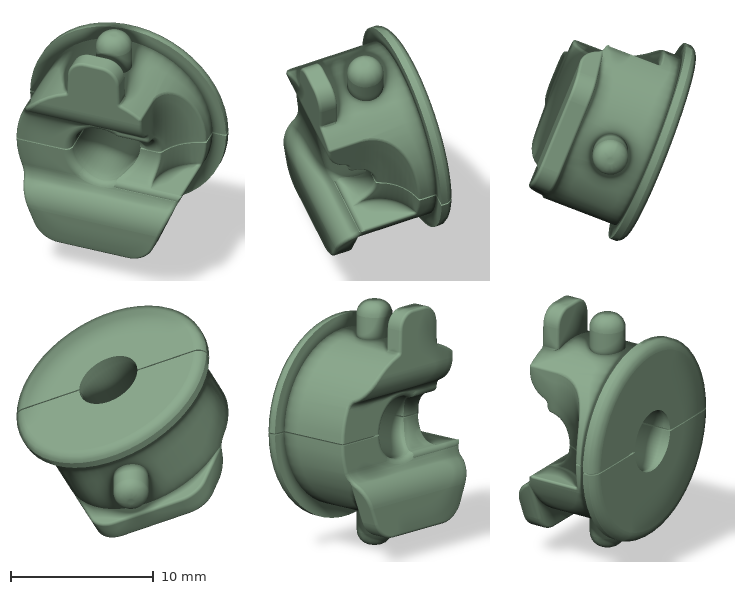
import cadquery as cq
import math


total_depth = 8.0
flange_radius = 7.35
flange_thickness = 1.0
flange_rim = 0.48
flange_crown_width = 0.75
body_radius = 6.35
bore_radius = 2.25
mouth_round = 0.5
edge_round = 0.2

recess_depth = 1.5
upper_ridge_start = 4.74
lower_ridge_start = 4.67
ridge_round = 2.0
upper_hollow_round = 0.5
lower_hollow_round = 1.0

plate_bottom = -7.18
plate_taper = math.radians(22)
plate_corner = 2.0

tab_top = 8.96
tab_bottom = 5.35
tab_thickness = 1.35
tab_top_half = 1.87
tab_bottom_half = 2.0
tab_corner = 1.32
tab_root_round = 0.18

exit_radius = 2.0
exit_lip_round = 0.41
notch_x = 3.62
notch_round = 3.33
notch_curve_start = 2.45
notch_corner = 0.15
lower_notch_edge_round = 0.15

pin_end = 8.85
pin_y = -3.78
pin_dome = 1.0
upper_pin_radius = 1.275
lower_pin_radius = 1.25

gap = 0.12
pad_inset = 0.7

front_y = -total_depth
recess_y = front_y + recess_depth
tab_back_y = front_y + tab_thickness
curve_y = front_y + notch_curve_start
curve_x = notch_x + notch_round
far = 2 * total_depth
tolerance = 0.002

TOP = 1
BOTTOM = -1


def on_face(y):
    """Workplane facing -Y, with X to the right and Z up."""
    return cq.Workplane(cq.Plane(origin=(0, y, 0), xDir=(1, 0, 0), normal=(0, -1, 0)))


def disc(radius, y_back, y_front):
    return on_face(y_back).circle(radius).extrude(y_back - y_front)


def half_space(side):
    """Everything on one side of the parting gap."""
    block = cq.Workplane("XY", origin=(0, 0, side * gap / 2))
    return block.rect(2 * far, 2 * far).extrude(side * far)


def distance_from_axis(edge):
    middle = edge.positionAt(0.5)
    return math.hypot(middle.x, middle.z)


def flange():
    """Disc whose back edge is crowned by an arc tangent to the flat back."""
    profile = (
        cq.Workplane("XY")
        .moveTo(0, -flange_thickness)
        .lineTo(0, 0)
        .lineTo(flange_radius - flange_crown_width, 0)
        .tangentArcPoint((flange_radius, flange_rim - flange_thickness), relative=False)
        .lineTo(flange_radius, -flange_thickness)
        .close()
    )
    return profile.revolve(360, (0, 0, 0), (0, 1, 0))




def tangent_sides():
    """Tangent points on the body and lower corners of the plate."""
    touch_x = body_radius * math.cos(plate_taper)
    touch_z = -body_radius * math.sin(plate_taper)
    bottom_x = touch_x - (touch_z - plate_bottom) * math.tan(plate_taper)
    return (-touch_x, touch_z), (-bottom_x, plate_bottom), (bottom_x, plate_bottom), (touch_x, touch_z)


def plate():
    slab = on_face(recess_y).polyline(tangent_sides()).close().extrude(recess_depth)
    slab = slab.edges("|Y").edges("<Z").fillet(plate_corner)
    return slab.faces(">Y").edges("not >Z").fillet(edge_round)


def skirted_body():
    """Body section continued down to the plate outline, along the whole depth."""
    left_touch, left_corner, right_corner, right_touch = tangent_sides()
    outline = (
        on_face(0)
        .moveTo(*left_touch)
        .lineTo(*left_corner)
        .lineTo(*right_corner)
        .lineTo(*right_touch)
        .threePointArc((0, body_radius), left_touch)
        .close()
    )
    return outline.extrude(total_depth).edges("|Y").edges("<Z").fillet(plate_corner)


def tab():
    outline = [
        (-tab_bottom_half, tab_bottom),
        (-tab_top_half, tab_top),
        (tab_top_half, tab_top),
        (tab_bottom_half, tab_bottom),
    ]
    slab = on_face(tab_back_y).polyline(outline).close().extrude(tab_thickness)
    return slab.edges("|Y").edges(">Z").fillet(tab_corner)


def tabbed_body():
    """Body with the tab; the tab has rounded roots and a rounded border on its back."""
    body = disc(body_radius, 0, front_y).union(tab())
    roots = [
        edge
        for edge in body.edges("|Y").vals()
        if abs(distance_from_axis(edge) - body_radius) < tolerance and edge.Center().z > tab_bottom
    ]
    body = body.newObject(roots).fillet(tab_root_round)
    back_rim = [
        edge
        for edge in body.edges("#Y").vals()
        if abs(edge.Center().y - tab_back_y) < tolerance and distance_from_axis(edge) > body_radius + tolerance
    ]
    return body.newObject(back_rim).fillet(edge_round)




def ridge_curve(ridge_start, hollow_round, side):
    """Five points from the front face to the recess floor: a convex arc, then a concave arc."""
    turn = math.acos(1 - recess_depth / (ridge_round + hollow_round))
    floor_z = ridge_start - (ridge_round + hollow_round) * math.sin(turn)

    def convex(angle):
        y = front_y + ridge_round * (1 - math.cos(angle))
        return y, side * (ridge_start - ridge_round * math.sin(angle))

    def concave(angle):
        y = recess_y - hollow_round * (1 - math.cos(angle))
        return y, side * (floor_z + hollow_round * math.sin(angle))

    return convex(0), convex(turn / 2), convex(turn), concave(turn / 2), concave(0)


def recess():
    upper = ridge_curve(upper_ridge_start, upper_hollow_round, TOP)
    lower = ridge_curve(lower_ridge_start, lower_hollow_round, BOTTOM)[::-1]
    profile = (
        cq.Workplane("YZ")
        .moveTo(-far, upper_ridge_start)
        .lineTo(*upper[0])
        .threePointArc(upper[1], upper[2])
        .threePointArc(upper[3], upper[4])
        .lineTo(*lower[0])
        .threePointArc(lower[1], lower[2])
        .threePointArc(lower[3], lower[4])
        .lineTo(-far, -lower_ridge_start)
        .close()
    )
    return profile.extrude(far, both=True)


def border(edges):
    """Edges listed only once, so not shared by two of the faces, and away from the parting."""
    codes = [edge.hashCode() for edge in edges]
    return [
        edge
        for edge, code in zip(edges, codes)
        if codes.count(code) == 1 and abs(edge.positionAt(0.5).z) > gap
    ]


def front_border(half):
    """Border edges of the surfaces that face forward."""
    edges = []
    for face in half.faces().vals():
        if face.normalAt().y < -0.3 and face.Center().y < recess_y + edge_round:
            edges += face.Edges()
    return border(edges)


def round_outer_rim(half):
    rim = [edge for edge in front_border(half) if distance_from_axis(edge) > body_radius - edge_round]
    return half.newObject(rim).fillet(edge_round)


def cut_bore(half):
    bored = half.cut(disc(bore_radius, far, -far))
    mouth = [edge for edge in front_border(bored) if distance_from_axis(edge) < bore_radius + edge_round]
    return bored.newObject(mouth).fillet(mouth_round)




def exit_channel():
    """U-shaped channel along +X whose upper edges flare outwards into rounded lips."""
    lip_z = math.sqrt(exit_radius * (exit_radius + 2 * exit_lip_round))
    touch_angle = math.atan2(lip_z, exit_lip_round)
    touch_y = recess_y + exit_radius * math.cos(touch_angle)
    touch_z = exit_radius * math.sin(touch_angle)
    middle_y = recess_y + exit_lip_round * (1 - math.cos(touch_angle / 2))
    middle_z = lip_z - exit_lip_round * math.sin(touch_angle / 2)
    start_x = math.sqrt(bore_radius**2 - exit_radius**2)
    profile = (
        cq.Workplane("YZ", origin=(start_x, 0, 0))
        .moveTo(-far, lip_z)
        .lineTo(recess_y, lip_z)
        .threePointArc((middle_y, middle_z), (touch_y, touch_z))
        .threePointArc((recess_y + exit_radius, 0), (touch_y, -touch_z))
        .threePointArc((middle_y, -middle_z), (recess_y, -lip_z))
        .lineTo(-far, -lip_z)
        .close()
    )
    return profile.extrude(far)


def notch():
    """Side opening: a straight wall that curves outwards, standing on a flat floor."""
    bend = notch_round * math.sqrt(0.5)
    profile = (
        cq.Workplane("XY", origin=(0, 0, -exit_radius))
        .moveTo(notch_x, -far)
        .lineTo(notch_x, curve_y)
        .threePointArc((curve_x - bend, curve_y + bend), (curve_x, curve_y + notch_round))
        .lineTo(far, curve_y + notch_round)
        .lineTo(far, -far)
        .close()
    )
    block = profile.extrude(far)
    return block.faces("<Z").edges("<X or %CIRCLE").fillet(notch_corner)


def round_notch_rim(half, radius):
    """Round the border of the surfaces left by the notch, without the parting edges."""
    notch_skin = notch().val().Shells()[0]
    edges = []
    for face in half.faces().vals():
        if all(notch_skin.distance(corner) < tolerance for corner in face.Vertices()):
            edges += face.Edges()
    return half.newObject(border(edges)).fillet(radius)




def pin(radius, side):
    shaft = cq.Workplane("XY", origin=(0, pin_y, 0)).circle(radius).extrude(side * pin_end)
    domed = shaft.edges(">Z" if side == TOP else "<Z").fillet(pin_dome)
    return domed.cut(disc(bore_radius + mouth_round, 0, front_y))


def parting_pads():
    """Pads on the parting face, inset from the flange back, bore, body, recess and cable exit."""
    inner_x = bore_radius + pad_inset
    outer_x = body_radius - pad_inset
    back_y = -pad_inset
    plane = cq.Workplane("XY", origin=(0, 0, -gap / 2))
    left = plane.moveTo(-outer_x, back_y).lineTo(-inner_x, back_y)
    left = left.lineTo(-inner_x, recess_y + pad_inset).lineTo(-outer_x, recess_y + pad_inset)
    left = left.close().extrude(gap)
    channel_y = recess_y + exit_radius + pad_inset
    right = plane.moveTo(inner_x, back_y).lineTo(outer_x, back_y)
    right = right.lineTo(outer_x, channel_y).lineTo(inner_x, channel_y).close().extrude(gap)
    around_notch = plane.center(curve_x, curve_y).circle(notch_round + pad_inset).extrude(gap)
    return left, right.cut(around_notch)


def finish_half(front_part, pin_radius, notch_edge, side):
    """Add flange and pin to the rounded front part, then open the bore and the cable exit."""
    half = front_part.union(flange().intersect(half_space(side))).union(pin(pin_radius, side))
    half = cut_bore(half).cut(exit_channel()).cut(notch())
    return round_notch_rim(half, notch_edge)




def upper_half():
    front_part = round_outer_rim(tabbed_body().cut(recess()).intersect(half_space(TOP)))
    return finish_half(front_part, upper_pin_radius, edge_round, TOP)


def lower_half():
    front_part = round_outer_rim(skirted_body().cut(recess()).intersect(half_space(BOTTOM)))
    front_part = front_part.intersect(disc(body_radius, 0, front_y).union(plate()))
    half = finish_half(front_part, lower_pin_radius, lower_notch_edge_round, BOTTOM)
    for pad in parting_pads():
        half = half.union(pad)
    return half


upper = upper_half()
lower = lower_half()

result = cq.Compound.makeCompound([upper.val(), lower.val()])